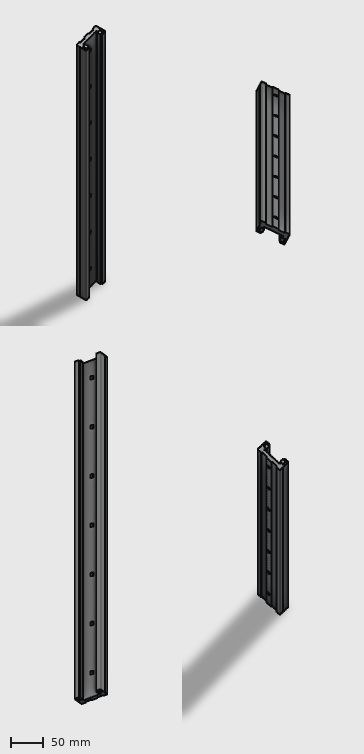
import cadquery as cq

LENGTH = 609.5
WIDTH = 49.0
DEPTH = 19.0
SIDES = (1, -1)

CORNER_RADIUS = 0.5
WEB_FRONT = 7.5
ARM_THICKNESS = 8.0

GROOVE_CENTER = 11.0
GROOVE_MOUTH = 11.5
GROOVE_FLOOR = 10.5
GROOVE_DEPTH = 1.5

SCRIBE_X = 7.0
SCRIBE_WIDTH = 1.0
SCRIBE_DEPTH = 0.5

STRIP_BACK = 10.5
STRIP_THICKNESS = 6.0
STRIP_WIDTH = 6.0
SEAT_WALL = 3.0
SEAT_CLEARANCE = 0.5
STRIP_INNER = WIDTH / 2 - SEAT_WALL - SEAT_CLEARANCE - STRIP_WIDTH

HOLE_DIAMETER = 7.0
HOLE_COUNT = 7
HOLE_SPAN = 533.5
TOP_HOLE_DROP = 32.0
HOLE_PITCH = HOLE_SPAN / (HOLE_COUNT - 1)


def bar(x_min, x_max, y_start, y_end):
    """Full-length rectangular bar between the given X and Y limits; Y limits in either order."""
    return (
        cq.Workplane("XY")
        .rect(x_max - x_min, abs(y_end - y_start))
        .extrude(LENGTH)
        .translate(((x_min + x_max) / 2, (y_start + y_end) / 2, 0))
    )


def strip_bar(side, width):
    """Bar with a strip's X limits, reaching outward from a strip's inner side by the given width."""
    return bar(
        STRIP_BACK, STRIP_BACK + STRIP_THICKNESS, side * STRIP_INNER, side * (STRIP_INNER + width)
    )


def make_strip(side):
    """Strip held in the arm on the given side (+1 or -1 along Y)."""
    return strip_bar(side, STRIP_WIDTH)


def make_seat(side):
    """Cutter for the strip's seat, which leaves a gap behind the strip."""
    return strip_bar(side, STRIP_WIDTH + SEAT_CLEARANCE)


def make_groove(side):
    """Cutter for the back-face groove on the given side of the middle plane."""
    middle = side * GROOVE_CENTER
    outline = [
        (0, middle - GROOVE_MOUTH / 2),
        (0, middle + GROOVE_MOUTH / 2),
        (GROOVE_DEPTH, middle + GROOVE_FLOOR / 2),
        (GROOVE_DEPTH, middle - GROOVE_FLOOR / 2),
    ]
    return cq.Workplane("XY").polyline(outline).close().extrude(LENGTH)


def make_scribe(side):
    """Cutter for the scribe line on the given outer side."""
    outer = side * WIDTH / 2
    outline = [
        (SCRIBE_X - SCRIBE_WIDTH / 2, outer),
        (SCRIBE_X + SCRIBE_WIDTH / 2, outer),
        (SCRIBE_X, outer - side * SCRIBE_DEPTH),
    ]
    return cq.Workplane("XY").polyline(outline).close().extrude(LENGTH)


def make_hole(index):
    """Cutter for one mounting hole, counted from the top end."""
    height = LENGTH - TOP_HOLE_DROP - index * HOLE_PITCH
    return cq.Workplane("YZ").center(0, height).circle(HOLE_DIAMETER / 2).extrude(WEB_FRONT)


def make_rail():
    """Channel-shaped rail with grooves, scribe lines, strip seats and mounting holes."""
    rail = bar(0, DEPTH, -WIDTH / 2, WIDTH / 2).edges("|Z").fillet(CORNER_RADIUS)

    channel_half = WIDTH / 2 - ARM_THICKNESS
    rail = rail.cut(bar(WEB_FRONT, DEPTH, -channel_half, channel_half))

    for side in SIDES:
        rail = rail.cut(make_groove(side))
        rail = rail.cut(make_scribe(side))
        rail = rail.cut(make_seat(side))

    for index in range(HOLE_COUNT):
        rail = rail.cut(make_hole(index))
    return rail


rail = make_rail()
strips = [make_strip(side) for side in SIDES]

result = cq.Compound.makeCompound([rail.val(), *[strip.val() for strip in strips]])